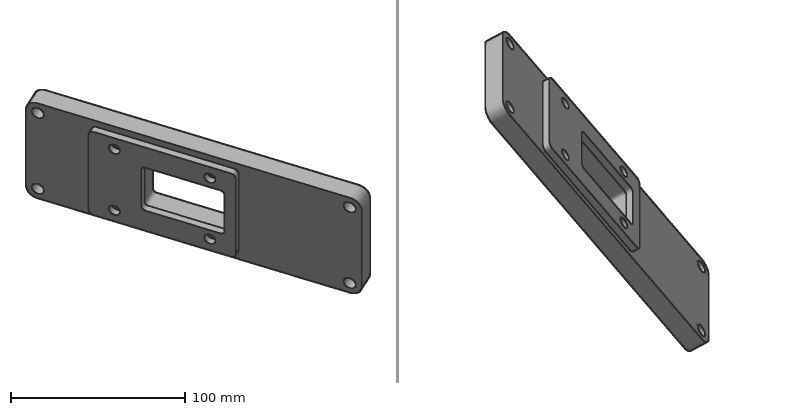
import cadquery as cq

plate_length = 211.0
plate_height = 75.0
plate_thickness = 12.0
plate_corner_radius = 7.5
mount_hole_diameter = 7.5
mount_hole_inset = 7.5

pad_length = 92.5
pad_height = 65.6
pad_thickness = 16.5 - plate_thickness
pad_corner_radius = 3.4
pad_center_x = -18.0

fastener_spacing_x = 60.0
fastener_spacing_z = 48.1
fastener_hole_diameter = 7.0
upper_plate_hole_diameter = 6.1

window_length = 52.1
window_height = 33.8
window_corner_radius = 2.5
window_center_x = -4.9


def rounded_block(length, height, thickness, radius, center_x, front_y):
    """Block with rounded XZ corners, extending from front_y toward +Y."""
    return (
        cq.Workplane("XY")
        .box(length, thickness, height)
        .edges("|Y")
        .fillet(radius)
        .translate((center_x, front_y + thickness / 2, 0))
    )


def hole_cutters(centers, diameter, front_y, depth):
    """Cylinders along Y at the given (x, z) centers."""
    return (
        cq.Workplane("XZ", origin=(0, front_y, 0))
        .pushPoints(centers)
        .circle(diameter / 2)
        .extrude(-depth)
    )


def window_cutter(front_y, depth):
    return rounded_block(
        window_length, window_height, depth, window_corner_radius, window_center_x, front_y
    )


def fastener_row(z):
    """Centers of the left and right fastening holes at height z."""
    return [(pad_center_x + side * fastener_spacing_x / 2, z) for side in (-1, 1)]


upper_fasteners = fastener_row(fastener_spacing_z / 2)
lower_fasteners = fastener_row(-fastener_spacing_z / 2)


def make_plate():
    mount_x = plate_length / 2 - mount_hole_inset
    mount_z = plate_height / 2 - mount_hole_inset
    mount_centers = [(sx * mount_x, sz * mount_z) for sx in (-1, 1) for sz in (-1, 1)]

    plate = rounded_block(
        plate_length, plate_height, plate_thickness, plate_corner_radius, 0, 0
    )
    plate = plate.cut(hole_cutters(mount_centers, mount_hole_diameter, 0, plate_thickness))
    plate = plate.cut(hole_cutters(upper_fasteners, upper_plate_hole_diameter, 0, plate_thickness))
    plate = plate.cut(hole_cutters(lower_fasteners, fastener_hole_diameter, 0, plate_thickness))
    return plate.cut(window_cutter(0, plate_thickness))


def make_pad():
    front_y = -pad_thickness
    fasteners = upper_fasteners + lower_fasteners

    pad = rounded_block(
        pad_length, pad_height, pad_thickness, pad_corner_radius, pad_center_x, front_y
    )
    pad = pad.cut(hole_cutters(fasteners, fastener_hole_diameter, front_y, pad_thickness))
    return pad.cut(window_cutter(front_y, pad_thickness))


plate = make_plate()
pad = make_pad()
result = cq.Compound.makeCompound([plate.val(), pad.val()])